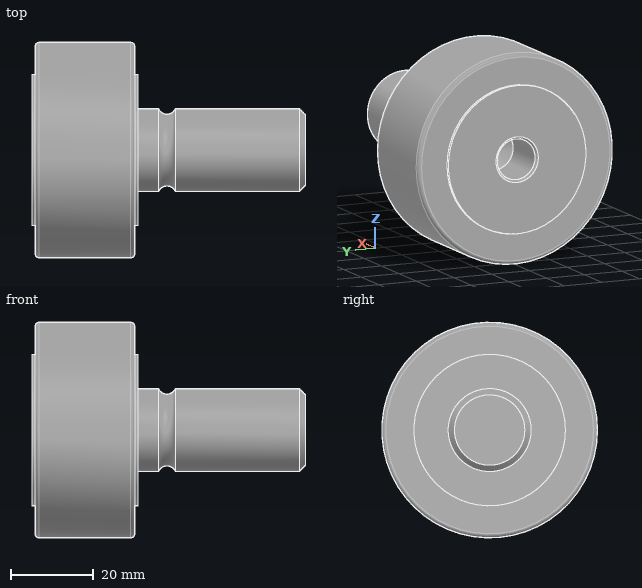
import cadquery as cq
import math


stud_length = 66.0
head_dia = 36.5
head_thickness = 4.95
shank_dia = 20.0
shank_chamfer = 1.5

groove_start = 30.55
groove_width = 4.0
groove_depth = 1.3

hole_dia = 10.0
hole_depth = 13.2
hole_mouth_chamfer = 0.6
drill_point_angle = 120.0

roller_dia = 52.0
roller_width = 24.0
roller_fillet = 1.0
roller_start = 0.8
roller_end = roller_start + roller_width

washer_dia = head_dia
washer_thickness = 4.95
washer_protrusion = roller_start
washer_end = roller_end + washer_protrusion
washer_start = washer_end - washer_thickness


def cylinder(diameter, start, end):
    """Solid cylinder on the X axis between two X positions."""
    return cq.Workplane("YZ", origin=(start, 0, 0)).circle(diameter / 2).extrude(end - start)


def revolve_about_x(profile):
    """Turn a closed XY profile once around the X axis."""
    return profile.close().revolve(360, (0, 0, 0), (1, 0, 0))


def make_groove():
    """Ring of material removed by the groove, with an arc for its bottom."""
    shank_radius = shank_dia / 2
    groove_end = groove_start + groove_width
    bottom = (groove_start + groove_width / 2, shank_radius - groove_depth)
    profile = (
        cq.Workplane("XY")
        .moveTo(groove_start, shank_radius)
        .threePointArc(bottom, (groove_end, shank_radius))
    )
    return revolve_about_x(profile)


def make_centre_hole():
    """Drilled hole with a chamfered mouth and a conical end."""
    hole_radius = hole_dia / 2
    point_length = hole_radius / math.tan(math.radians(drill_point_angle / 2))
    profile = (
        cq.Workplane("XY")
        .lineTo(0, hole_radius + hole_mouth_chamfer)
        .lineTo(hole_mouth_chamfer, hole_radius)
        .lineTo(hole_depth, hole_radius)
        .lineTo(hole_depth + point_length, 0)
    )
    return revolve_about_x(profile)


def make_stud():
    """Headed stud with a grooved shank and a centre hole."""
    shank = cylinder(shank_dia, 0, stud_length).faces(">X").chamfer(shank_chamfer)
    head = cylinder(head_dia, 0, head_thickness)
    return shank.union(head).cut(make_groove()).cut(make_centre_hole())


def make_roller():
    """Roller bored for the shank, with a recess for the head and one for the washer."""
    rim = cylinder(roller_dia, roller_start, roller_end).edges().fillet(roller_fillet)
    bore = cylinder(shank_dia, roller_start, roller_end)
    head_recess = cylinder(head_dia, roller_start, head_thickness)
    washer_recess = cylinder(washer_dia, washer_start, roller_end)
    return rim.cut(bore).cut(head_recess).cut(washer_recess)


def make_washer():
    """Washer on the shank, standing slightly proud of the roller."""
    return cylinder(washer_dia, washer_start, washer_end).cut(cylinder(shank_dia, washer_start, washer_end))


stud = make_stud()
roller = make_roller()
washer = make_washer()

result = cq.Compound.makeCompound([stud.val(), roller.val(), washer.val()])